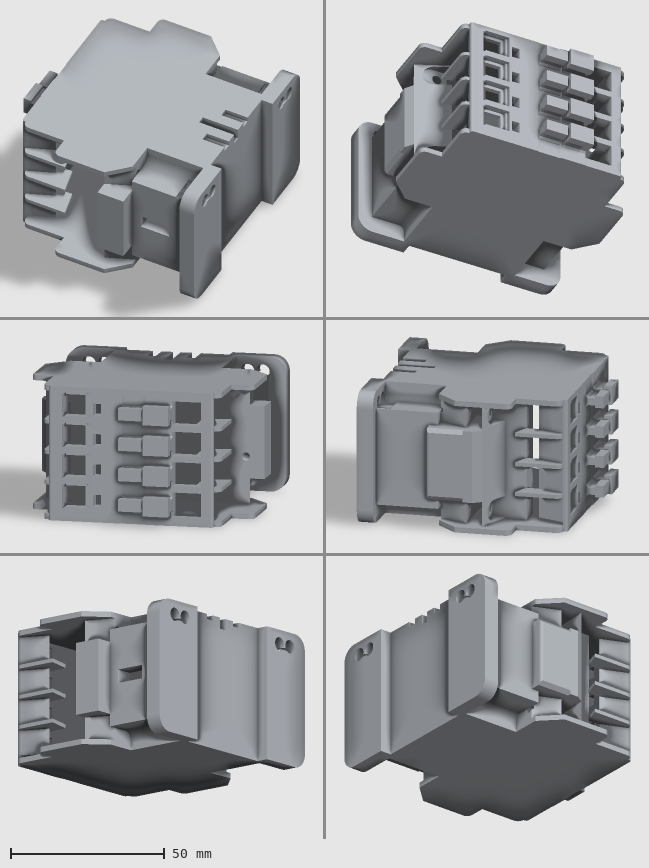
import cadquery as cq

LENGTH = 74.7
WIDTH = 74.0
HEIGHT = 44.4
TOP = HEIGHT / 2

COVER_THICKNESS = 1.8
COVER_INNER = TOP - COVER_THICKNESS
COVER_FRONT_X = 7.9
COVER_FRONT_HALF = 29.65
COVER_CORNER_RADIUS = 2.1
EAR_X = 23.15
EAR_HALF = WIDTH / 2
EAR_CORNER_RADIUS = 2.0
EAR_SLOPE_X = 41.8
EAR_SLOPE_END_HALF = 30.25

FRAME_X = 6.5
FRAME_HALF = 27.4
FRAME_EDGE_RADIUS = 0.8
GRID_BACK_X = 10.3
GRID_HALF = 24.65
POLE_PITCH = 30.2 / 3
POLE_COUNT = 4
POLE_CENTERS = [POLE_PITCH * (i - (POLE_COUNT - 1) / 2) for i in range(POLE_COUNT)]

WINDOW_HEIGHT = 7.9
GRID_BOTTOM = POLE_CENTERS[0] - WINDOW_HEIGHT / 2
LEFT_WINDOW_RAISE = 1.4
LEFT_WINDOW_Y = (13.6, 23.0)
LEFT_STEPS = ((14.5, 1.1), (15.6, 2.25))
LEFT_LINTEL = 1.1
LEFT_STRIP_WIDTH = 0.8
LEFT_STRIP_DROP = 0.5
RIGHT_WINDOW_Y = (-23.5, -14.0)
SMALL_WINDOW_Y = (9.9, 12.55)
SMALL_WINDOW_HEIGHT = 3.95

WIDE_PUSHER_Y = (-14.0, -5.5)
WIDE_HEAD_X = 0.0
WIDE_HEAD_LENGTH = 2.6
WIDE_HEAD_HEIGHT = 6.2
WIDE_STEM_HEIGHT = 3.9
NARROW_PUSHER_Y = (-4.7, 2.9)
NARROW_HEAD_X = 0.6
NARROW_HEAD_LENGTH = 2.85
NARROW_HEAD_HEIGHT = 3.95
NARROW_STEM_HEIGHT = 2.5
STEM_FLARE = 0.75
WIDE_PAD_RAISE = 0.15
NARROW_PAD_DEPTH = 0.15

BARRIER_THICKNESS = 1.3
BARRIER_END_X = 23.45
BARRIER_INNER_X = 21.35
BARRIER_INNER_MINUS = 20.5
SIDE_WALL_INNER = 23.5
SIDE_WALL_END_X = 16.95
SIDE_WALL_END_HALF = 23.8

MID_X = 39.2
REAR_X = 48.7
MID_FRONT_HALF = 32.0
MID_REAR_HALF = 28.15
LUG_HALF_Z = 12.0
LUG_HALF = 36.75
LUG_PLUS_END_X = 51.45
LUG_BEVEL = 1.35
LUG_CORNER_RADIUS = 1.05
PIN_HOLE_Y = -30.6
PIN_HOLE_Z = -4.8
PIN_HOLE_RADIUS = 1.35
PIN_HOLE_DEPTH = 2.25

SLOPE_FACE_X = 21.1
SLOPE_FACE_Y = (14.9, 23.45)
SLOPE_START_X = 28.2
SLOPE_OUTER_END = (33.15, 34.7)
SLOPE_INNER_X = 25.7
BRIDGE_START_X = 36.1
SLOPE_INNER_Y = 17.55
SLOPE_INNER_END = (32.1, SLOPE_INNER_Y)

REAR_END_X = 70.65
REAR_PLUS_Y = 31.9
REAR_MINUS_Y = -30.85
SPINE_HALF = 20.15
SHOULDER_Z = 16.2
SHOULDER_FILLET_MINUS = 3.1
SHOULDER_FILLET_PLUS = 1.95
SIDE_SLOT_X = (52.05, 62.3)
SIDE_SLOT_HEIGHT = 4.5
SIDE_SLOT_DEPTH = 6.0
VENTS = ((6.6, 2.9, 62.5, 1.7), (0.0, 2.6, 57.7, 3.7), (-6.5, 3.05, 62.5, 1.7))

FLANGE_X = 69.3
FLANGE_HALF = 36.75
FLANGE_CORNER_RADIUS = 5.1
RAIL_HALF = 17.6

SCREW_Y = 26.9
SCREW_RADIUS = 1.65
ACCESS_RADIUS = 3.6
ACCESS_END_Y = 28.7
ACCESS_FLOOR_X = 32.3
MOUNT_HOLE_RADIUS = 2.25
MOUNT_HOLE_Z = 17.5
MOUNT_HOLES_Y = (23.9, 29.05)
MOUNT_CHANNEL_X = 64.75
MOUNT_LINK_HEIGHT = 0.75


def box(x, y, z):
    """Box spanning the three (start, end) ranges."""
    size = [end - start for start, end in (x, y, z)]
    return cq.Workplane("XY").box(*size, centered=False).translate((x[0], y[0], z[0]))


def plate(points, z):
    """Prism of an XY outline over a Z range."""
    return cq.Workplane("XY").workplane(offset=z[0]).polyline(points).close().extrude(z[1] - z[0])


def rod(x, y, z, radius):
    """Cylinder along X over an X range."""
    return cq.Workplane("YZ").workplane(offset=x[0]).center(y, z).circle(radius).extrude(x[1] - x[0])


def about(center, size):
    """(start, end) range of a given size around a centre."""
    return (center - size / 2, center + size / 2)


def mirrored(points):
    """Outline points reflected across the first axis, in reverse so they continue the outline."""
    return [(x, -y) for x, y in reversed(points)]


def make_cover(z):
    half = [
        (COVER_FRONT_X, COVER_FRONT_HALF),
        (EAR_X, COVER_FRONT_HALF),
        (EAR_X, EAR_HALF),
        (EAR_SLOPE_X, EAR_HALF),
        (REAR_X, EAR_SLOPE_END_HALF),
    ]
    cover = plate(half + mirrored(half), z)
    cover = cover.edges("|Z").edges("<X").fillet(COVER_CORNER_RADIUS)
    for side in (EAR_HALF, -EAR_HALF):
        corner = cq.selectors.NearestToPointSelector((EAR_X, side, (z[0] + z[1]) / 2))
        cover = cover.edges(corner).fillet(EAR_CORNER_RADIUS)
    return cover


covers = make_cover((COVER_INNER, TOP)).union(make_cover((-TOP, -COVER_INNER)))


def make_frame():
    frame = box((FRAME_X, COVER_FRONT_X), (-FRAME_HALF, FRAME_HALF), (-TOP, TOP))
    frame = frame.edges("|Z and <X").fillet(FRAME_EDGE_RADIUS)
    grid = box((COVER_FRONT_X, GRID_BACK_X), (-GRID_HALF, GRID_HALF), (GRID_BOTTOM, COVER_INNER))
    pad = box((FRAME_X - WIDE_PAD_RAISE, COVER_FRONT_X), WIDE_PUSHER_Y, (-TOP, TOP))
    groove = box((FRAME_X, FRAME_X + NARROW_PAD_DEPTH), NARROW_PUSHER_Y, (-TOP, TOP))
    frame = frame.union(grid).union(pad).cut(groove)
    through = (FRAME_X, GRID_BACK_X)
    for z in POLE_CENTERS:
        frame = frame.cut(box(through, RIGHT_WINDOW_Y, about(z, WINDOW_HEIGHT)))
        frame = frame.cut(box(through, SMALL_WINDOW_Y, about(z, SMALL_WINDOW_HEIGHT)))
        frame = frame.cut(left_window(z + LEFT_WINDOW_RAISE))
    return frame


def left_window(z):
    """Window whose jamb steps inwards twice; the strip at its outer end sits slightly lower."""
    bottom, top = about(z, WINDOW_HEIGHT)
    first, second = LEFT_STEPS
    outer = LEFT_WINDOW_Y[1] - LEFT_STRIP_WIDTH
    mouth = box((FRAME_X, FRAME_X + first[1]), (LEFT_WINDOW_Y[0], outer), (bottom, top))
    throat = box((FRAME_X, FRAME_X + second[1]), (first[0], outer), (bottom, top))
    tunnel = box((FRAME_X, GRID_BACK_X), (second[0], outer), (bottom, top - LEFT_LINTEL))
    strip_z = (bottom - LEFT_STRIP_DROP, top - LEFT_STRIP_DROP)
    strip = box((FRAME_X, GRID_BACK_X), (outer, LEFT_WINDOW_Y[1]), strip_z)
    return mouth.union(throat).union(tunnel).union(strip)


def make_pusher(y, z, head_x, head_length, head_height, stem_height):
    """T-shaped pusher whose stem flares where it enters the frame."""
    neck_x = head_x + head_length
    head = head_height / 2
    stem = stem_height / 2
    upper = [
        (head_x, head),
        (neck_x, head),
        (neck_x, stem),
        (FRAME_X - STEM_FLARE, stem),
        (FRAME_X, stem + STEM_FLARE),
        (COVER_FRONT_X, stem + STEM_FLARE),
    ]
    outline = upper + mirrored(upper)
    profile = cq.Workplane("XZ").polyline(outline).close().extrude(y[0] - y[1])
    return profile.translate((0, y[0], z))


def make_barrier(z, side, inner):
    """Thin shelf between two poles on one side (+1 or -1)."""
    outline = [
        (COVER_FRONT_X, side * inner),
        (COVER_FRONT_X, side * COVER_FRONT_HALF),
        (BARRIER_END_X, side * COVER_FRONT_HALF),
        (BARRIER_INNER_X, side * inner),
    ]
    corner = cq.selectors.NearestToPointSelector((COVER_FRONT_X, side * COVER_FRONT_HALF, z))
    return plate(outline, about(z, BARRIER_THICKNESS)).edges(corner).fillet(COVER_CORNER_RADIUS)


def make_side_wall(side):
    outline = [
        (COVER_FRONT_X, side * SIDE_WALL_INNER),
        (COVER_FRONT_X, side * FRAME_HALF),
        (SIDE_WALL_END_X, side * SIDE_WALL_END_HALF),
        (SIDE_WALL_END_X, side * SIDE_WALL_INNER),
    ]
    return plate(outline, (GRID_BOTTOM, COVER_INNER))


def make_middle():
    half = [(MID_X, MID_FRONT_HALF), (REAR_X, MID_REAR_HALF)]
    body = plate(half + mirrored(half), (-TOP, TOP))
    lug_z = (-LUG_HALF_Z, LUG_HALF_Z)
    minus_lug = box((MID_X, REAR_X), (-LUG_HALF, -SPINE_HALF), lug_z)
    plus_lug = box((MID_X, LUG_PLUS_END_X), (SPINE_HALF, LUG_HALF), lug_z)
    plus_lug = plus_lug.faces(">Y").edges("|X").chamfer(LUG_BEVEL)
    plus_lug = plus_lug.faces(">Y").edges(">X").fillet(LUG_CORNER_RADIUS)
    pin_hole = cq.Workplane(cq.Solid.makeCone(
        PIN_HOLE_RADIUS, 0, PIN_HOLE_DEPTH, cq.Vector(MID_X, PIN_HOLE_Y, PIN_HOLE_Z), cq.Vector(1, 0, 0)))
    return body.union(minus_lug).union(plus_lug).cut(pin_hole)


def make_sloping_wall():
    """Wall leaning outwards on +Y, joined to the +Y lug by a bridge of the lug's height."""
    wall = plate(
        [
            (SLOPE_FACE_X, SLOPE_FACE_Y[0]),
            (SLOPE_FACE_X, SLOPE_FACE_Y[1]),
            (SLOPE_START_X, SLOPE_FACE_Y[1]),
            SLOPE_OUTER_END,
            SLOPE_INNER_END,
            (SLOPE_INNER_X, SLOPE_INNER_Y),
        ],
        (-COVER_INNER, COVER_INNER),
    )
    bridge = plate(
        [
            SLOPE_OUTER_END,
            (BRIDGE_START_X, LUG_HALF),
            (MID_X, LUG_HALF),
            (MID_X, SLOPE_INNER_Y),
            SLOPE_INNER_END,
        ],
        (-LUG_HALF_Z, LUG_HALF_Z),
    )
    wall = wall.union(bridge)
    for z in (SHOULDER_Z, -SHOULDER_Z):
        depth = (SLOPE_FACE_X, ACCESS_FLOOR_X)
        wall = wall.cut(rod(depth, ACCESS_END_Y, z, ACCESS_RADIUS))
        wall = wall.cut(box(depth, (SLOPE_FACE_Y[1], ACCESS_END_Y), about(z, 2 * ACCESS_RADIUS)))
    return wall


def make_rear():
    depth = (REAR_X, REAR_END_X)
    body = box(depth, (REAR_MINUS_Y, REAR_PLUS_Y), (-SHOULDER_Z, SHOULDER_Z))
    body = body.union(box(depth, (-SPINE_HALF, SPINE_HALF), (-TOP, TOP)))
    for y, radius in ((-SPINE_HALF, SHOULDER_FILLET_MINUS), (SPINE_HALF, SHOULDER_FILLET_PLUS)):
        for z in (-SHOULDER_Z, SHOULDER_Z):
            corner = cq.selectors.NearestToPointSelector(((REAR_X + REAR_END_X) / 2, y, z))
            body = body.edges(corner).fillet(radius)
    slot_y = (REAR_MINUS_Y, REAR_MINUS_Y + SIDE_SLOT_DEPTH)
    return body.cut(box(SIDE_SLOT_X, slot_y, about(0, SIDE_SLOT_HEIGHT)))


def make_flange():
    flange = box((FLANGE_X, LENGTH), (-FLANGE_HALF, FLANGE_HALF), (-TOP, TOP))
    flange = flange.edges("|X").fillet(FLANGE_CORNER_RADIUS)
    return flange.cut(box((REAR_END_X, LENGTH), (-RAIL_HALF, RAIL_HALF), (-TOP, TOP)))


body = covers.union(make_frame()).union(make_middle()).union(make_sloping_wall())
body = body.union(make_rear()).union(make_flange())

for side, inner in ((-1, BARRIER_INNER_MINUS), (1, SIDE_WALL_INNER)):
    body = body.union(make_side_wall(side))
    for z in POLE_CENTERS[1:]:
        body = body.union(make_barrier(z - POLE_PITCH / 2, side, inner))

for z in POLE_CENTERS:
    body = body.union(make_pusher(
        WIDE_PUSHER_Y, z, WIDE_HEAD_X, WIDE_HEAD_LENGTH, WIDE_HEAD_HEIGHT, WIDE_STEM_HEIGHT))
    body = body.union(make_pusher(
        NARROW_PUSHER_Y, z, NARROW_HEAD_X, NARROW_HEAD_LENGTH, NARROW_HEAD_HEIGHT, NARROW_STEM_HEIGHT))

for y, width, start_x, depth in VENTS:
    body = body.cut(box((start_x, REAR_END_X), about(y, width), (TOP - depth, TOP)))

for y, z in ((SCREW_Y, SHOULDER_Z), (-SCREW_Y, SHOULDER_Z), (SCREW_Y, -SHOULDER_Z)):
    body = body.cut(rod((SLOPE_FACE_X, REAR_X), y, z, SCREW_RADIUS))

for side in (-1, 1):
    channel = (MOUNT_CHANNEL_X, LENGTH)
    for y in MOUNT_HOLES_Y:
        body = body.cut(rod(channel, side * y, MOUNT_HOLE_Z, MOUNT_HOLE_RADIUS))
    link_y = sorted(side * y for y in MOUNT_HOLES_Y)
    body = body.cut(box(channel, link_y, about(SHOULDER_Z, MOUNT_LINK_HEIGHT)))

result = body